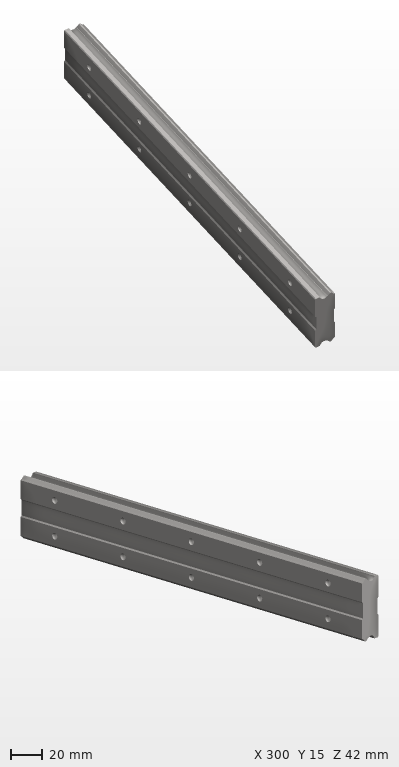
import cadquery as cq
import math

length = 300.0
width = 15.0
height = 42.0
half_width = width / 2
half_height = height / 2

corner_chamfer = 0.5
shelf_depth = 1.8
ridge_y = 4.2
ridge_crest_width = 1.0
groove_depth = 2.7
groove_radius = 3.3
groove_y = -0.5

channel_depth = 1.0
channel_floor_width = 10.2

hole_diameter = 4.5
hole_count = 5
hole_pitch = length / hole_count
hole_row_spacing = 24.0

shelf_z = half_height - shelf_depth
groove_centre_z = half_height - groove_depth + groove_radius
shelf_reach = math.sqrt(groove_radius**2 - (groove_centre_z - shelf_z) ** 2)
lip_reach = math.sqrt(groove_radius**2 - (groove_centre_z - half_height) ** 2)
half_crest = ridge_crest_width / 2
half_ridge_base = half_crest + shelf_depth
channel_y = half_width - channel_depth
channel_floor_z = channel_floor_width / 2
channel_edge_z = channel_floor_z + channel_depth


def upper_half():
    """Upper half of the rail, with the section drawn in the YZ plane."""
    return (
        cq.Workplane("YZ")
        .moveTo(channel_y, 0)
        .lineTo(channel_y, channel_floor_z)
        .lineTo(half_width, channel_edge_z)
        .lineTo(half_width, shelf_z - corner_chamfer)
        .lineTo(half_width - corner_chamfer, shelf_z)
        .lineTo(ridge_y + half_ridge_base, shelf_z)
        .lineTo(ridge_y + half_crest, half_height)
        .lineTo(ridge_y - half_crest, half_height)
        .lineTo(ridge_y - half_ridge_base, shelf_z)
        .lineTo(groove_y + shelf_reach, shelf_z)
        .threePointArc(
            (groove_y - groove_radius * math.sin(math.pi / 4),
             groove_centre_z - groove_radius * math.cos(math.pi / 4)),
            (groove_y - lip_reach, half_height),
        )
        .lineTo(-half_width + corner_chamfer, half_height)
        .lineTo(-half_width, half_height - corner_chamfer)
        .lineTo(-half_width, channel_edge_z)
        .lineTo(-channel_y, channel_floor_z)
        .lineTo(-channel_y, 0)
        .close()
        .extrude(length / 2, both=True)
    )


def through_holes():
    """Cutters for the holes, running along Y through the whole rail."""
    return (
        cq.Workplane("XZ")
        .rarray(hole_pitch, hole_row_spacing, hole_count, 2)
        .circle(hole_diameter / 2)
        .extrude(width, both=True)
    )


upper = upper_half()
rail = upper.union(upper.mirror("XY")).clean()
result = rail.cut(through_holes())